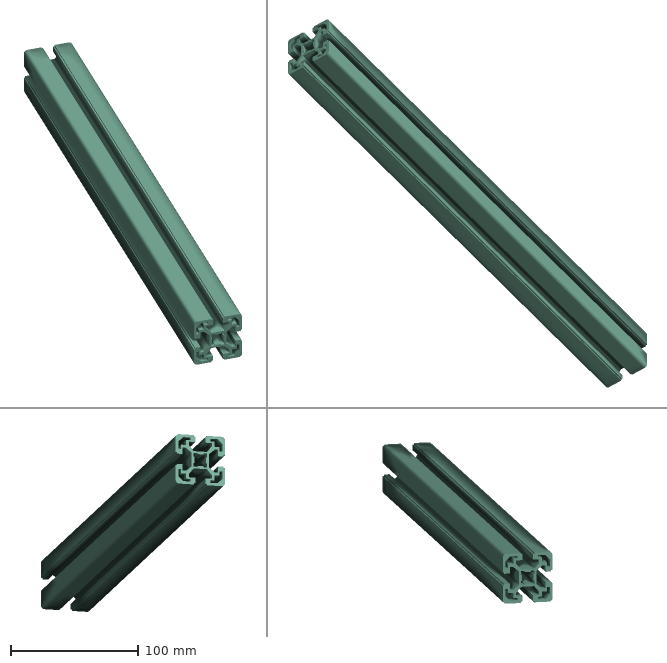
import cadquery as cq

length = 420.0
width = 40.0
half = width / 2
corner_radius = 2.8

slot_mouth = 8.2
slot_inner_width = 18.6
slot_depth = 13.0
lip_thickness = 5.6
lip_step_width = 1.2
lip_step_depth = 1.1
web_root_offset = 1.7
web_tip_offset = 2.4

skin = 2.2
chamber_inner = 11.6
chamber_end = 8.2
chamber_leg_width = 2.1
chamber_corner_cut = 3.8

bore_width = 11.1
pad_height = 0.8
pad_width = 5.0


def around_axis(shape):
    """Four copies of a shape, a quarter turn apart about the X axis."""
    return [shape.rotate((0, 0, 0), (1, 0, 0), 90 * turn) for turn in range(4)]


def prism(points):
    """Closed (Y, Z) outline extruded over the full length."""
    return cq.Workplane("YZ").polyline(points).close().extrude(length)


def slot_cutter():
    """T-slot open to +Z, with a stepped edge along each lip."""
    mouth = slot_mouth / 2
    step = mouth + lip_step_width
    step_floor = half - lip_step_depth
    inner = slot_inner_width / 2
    under_lip = half - lip_thickness
    floor = half - slot_depth
    right_side = [
        (step, half),
        (step, step_floor),
        (mouth, step_floor),
        (mouth, under_lip),
        (inner, under_lip),
        (inner, inner + web_tip_offset),
        (floor - web_root_offset, floor),
    ]
    left_side = [(-y, z) for y, z in reversed(right_side)]
    return prism(right_side + left_side)


def chamber_cutter():
    """Chamber of the +Y +Z corner, bevelled behind the rounded outer edge."""
    outer = half - skin
    shelf = outer - chamber_leg_width
    return prism([
        (chamber_end, outer),
        (outer - chamber_corner_cut, outer),
        (outer, outer - chamber_corner_cut),
        (outer, chamber_end),
        (shelf, chamber_end),
        (shelf, chamber_inner),
        (chamber_inner, chamber_inner),
        (chamber_inner, shelf),
        (chamber_end, shelf),
    ])


def bore_cutter():
    """Square bore less the pad left standing on each of its walls."""
    bore = cq.Workplane("YZ").rect(bore_width, bore_width).extrude(length)
    pad_centre = (bore_width - pad_height) / 2
    pad = cq.Workplane("YZ").center(0, pad_centre).rect(pad_width, pad_height).extrude(length)
    for shape in around_axis(pad):
        bore = bore.cut(shape)
    return bore


body = cq.Workplane("YZ").rect(width, width).extrude(length)
body = body.edges("|X").fillet(corner_radius)
for cutter in around_axis(slot_cutter()) + around_axis(chamber_cutter()):
    body = body.cut(cutter)
result = body.cut(bore_cutter())